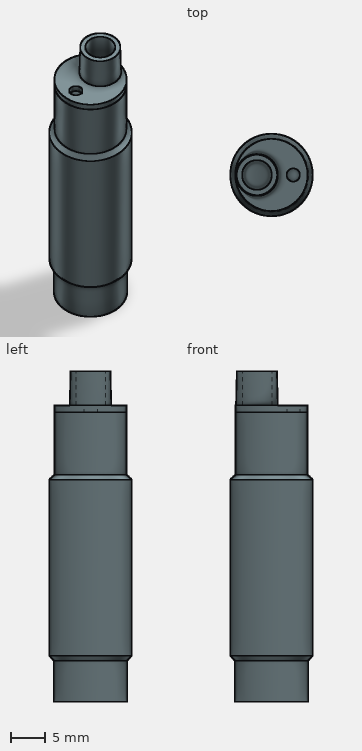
import cadquery as cq

total_length = 48.0
tail_length = 6.0
neck_length = 9.0
cap_thickness = 1.0
nozzle_length = 5.0
barrel_length = total_length - tail_length - neck_length - cap_thickness - nozzle_length

tail_diameter = 10.7
barrel_diameter = 12.0
neck_diameter = 10.45
cap_diameter = 10.5

bevel_height = 0.7
lower_bevel_width = (barrel_diameter - tail_diameter) / 2
upper_bevel_width = (barrel_diameter - neck_diameter) / 2

nozzle_x = -2.1
nozzle_base_diameter = 6.1
nozzle_tip_diameter = 5.85
bore_diameter = 4.3
bore_depth = nozzle_length

vent_x = 3.15
vent_diameter = 1.9
vent_depth = cap_thickness

barrel_top = tail_length + barrel_length
neck_top = barrel_top + neck_length
cap_top = neck_top + cap_thickness


def cylinder(diameter, bottom, height, x=0):
    """Vertical cylinder standing on the given level."""
    return cq.Workplane("XY", origin=(x, 0, bottom)).circle(diameter / 2).extrude(height)


def make_barrel():
    """Main cylinder with a bevel at each end."""
    radius = barrel_diameter / 2
    profile = (
        cq.Workplane("XZ")
        .moveTo(0, tail_length)
        .lineTo(radius - lower_bevel_width, tail_length)
        .lineTo(radius, tail_length + bevel_height)
        .lineTo(radius, barrel_top - bevel_height)
        .lineTo(radius - upper_bevel_width, barrel_top)
        .lineTo(0, barrel_top)
        .close()
    )
    return profile.revolve(360, (0, 0), (0, 1))


def make_nozzle():
    """Solid cone frustum that narrows toward its tip."""
    return (
        cq.Workplane("XY", origin=(nozzle_x, 0, cap_top))
        .circle(nozzle_base_diameter / 2)
        .workplane(offset=nozzle_length)
        .circle(nozzle_tip_diameter / 2)
        .loft(ruled=True)
    )


tail = cylinder(tail_diameter, 0, tail_length)
neck = cylinder(neck_diameter, barrel_top, neck_length)
cap = cylinder(cap_diameter, neck_top, cap_thickness)
bore = cylinder(bore_diameter, total_length - bore_depth, bore_depth, nozzle_x)
vent = cylinder(vent_diameter, cap_top - vent_depth, vent_depth, vent_x)

result = tail.union(make_barrel()).union(neck).union(cap).union(make_nozzle()).cut(bore).cut(vent)